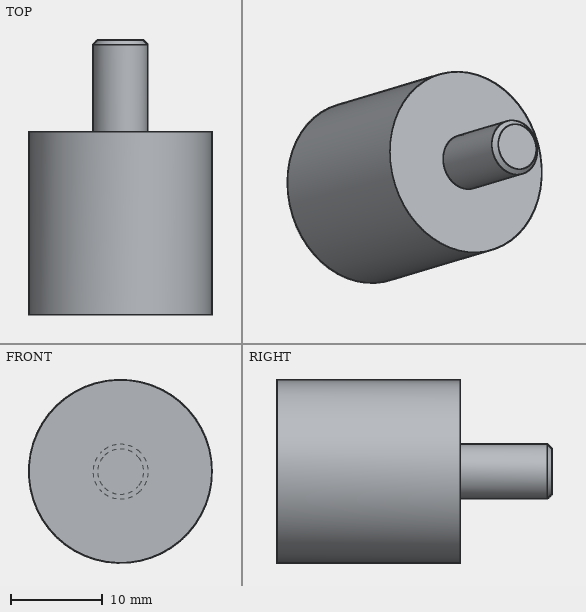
import cadquery as cq

total_length = 30.0
body_length = total_length * 2 / 3
body_diameter = body_length
stud_length = total_length - body_length
stud_diameter = 6.0
tip_chamfer = 0.5


def make_body():
    """Plain cylinder from Y = 0 to the shoulder."""
    return cq.Workplane("XZ").circle(body_diameter / 2).extrude(-body_length)


def add_stud(body):
    """Stud on the shoulder face, with its free end chamfered."""
    stud = (
        cq.Workplane("XZ", origin=(0, body_length, 0))
        .circle(stud_diameter / 2)
        .extrude(-stud_length)
        .faces(">Y")
        .chamfer(tip_chamfer)
    )
    return body.union(stud)


result = add_stud(make_body())